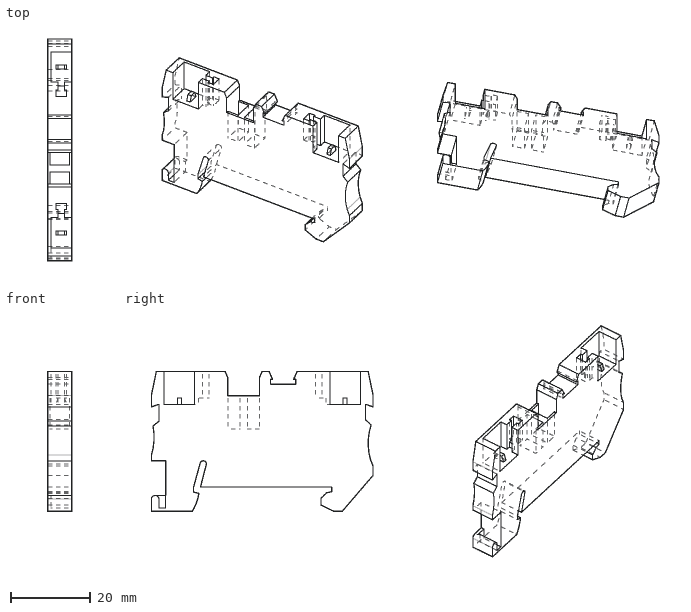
import cadquery as cq
import math

WIDTH = 6.15
WALL = 0.85
LENGTH = 55.9
HEIGHT = 35.3
END = LENGTH / 2

TOP_HALF = 26.7
SLOPE_FOOT_Z = 29.25
LIP_Z = 26.3
NOTCH_Y = 26.05
NOTCH_TOP_Z = 26.95

MINUS_NOTCH_BOTTOM_Z = 22.7
MINUS_HOLLOW_TIP = (-27.55, 21.5)
MINUS_HOLLOW_DEEPEST = (-27.3, 18.45)
MINUS_HOLLOW_END_Z = 14.2
PLUS_NOTCH_BOTTOM_Z = 23.1
PLUS_HOLLOW_TIP = (27.45, 21.75)
PLUS_HOLLOW_DEEPEST = (26.7, 17.1)
PLUS_HOLLOW_END = (27.3, 13.1)
PLUS_SIDE_TOP_Z = 11.4
PLUS_SIDE_BOTTOM_Z = 9.05

GROOVE_FLOOR_Z = 32.05
GROOVE_HOOK_Z = 33.25
GROOVE_CENTER_Y = 5.25
GROOVE_HALF = 3.15
GROOVE_HOOK_HALF = 2.6
GROOVE_MOUTH_HALF = 3.5

CHANNEL_CENTER_Y = -4.7
CHANNEL_HALF = 3.95
CHANNEL_FLOOR_Z = 29.2
CHANNEL_CHAMFER_Y = 0.65
CHANNEL_CHAMFER_Z = 1.55
WINDOW_BAR = 1.85
WINDOW_WALL = 0.6
WINDOW_DEPTH = 8.4

RAIL_Z = 6.1
STEP_Z = 12.7
FOOT_INNER_Y = -17.3
FOOT_HEEL_Y = -17.6
FOOT_HEEL_MID = (-16.6, 2.0)
FOOT_CATCH = (-15.95, 4.5)
FOOT_CATCH_ROOT_Z = 4.85
RELIEF_SEAT_Y = -15.6
RELIEF_FOOT_SIDE = (-15.6, 12.2)
RELIEF_TOP_Y = -14.75
RELIEF_SEAT_SIDE = (-14.1, 11.95)
FOOT_RECESS_Y = -24.4
FOOT_TOE_Z = 4.0
FOOT_TOE_RADIUS = 0.95
TOE_CREST_Y = FOOT_TOE_RADIUS - END
TOE_BEND = FOOT_TOE_RADIUS * (1 - math.sqrt(0.5))

HOOK_ROOT_Y = 17.5
HOOK_ROOT_Z = 5.0
HOOK_SHOULDER = (16.2, 4.7)
HOOK_NOSE_Y = 14.75
HOOK_NOSE_TOP_Z = 3.25
HOOK_NOSE_BOTTOM_Z = 1.55
HOOK_BOTTOM_INNER_Y = 18.0
HOOK_BOTTOM_OUTER_Y = 20.2

POCKET_INNER_Y = 17.1
POCKET_OUTER_Y = 24.7
POCKET_DEPTH = 8.4

SLOT_CENTER_X = 3.45
SLOT_WIDTH = 2.75
NECK_WIDTH = 1.6
HEAD_INNER_Y = 13.45
HEAD_OUTER_Y = 15.1
SLOT_STEP_Y = 16.05
SLOT_DEPTH = 6.7

RIDGE_CENTER_Y = 20.9
RIDGE_LENGTH_Y = 1.0
RIDGE_HEIGHT = 1.7


def housing():
    """Side outline, clockwise from the +Y end of the top face when +Y points left."""
    hook_low = GROOVE_CENTER_Y - GROOVE_HOOK_HALF
    hook_high = GROOVE_CENTER_Y + GROOVE_HOOK_HALF
    groove_low = GROOVE_CENTER_Y - GROOVE_HALF
    groove_high = GROOVE_CENTER_Y + GROOVE_HALF
    channel_low = CHANNEL_CENTER_Y - CHANNEL_HALF
    channel_high = CHANNEL_CENTER_Y + CHANNEL_HALF
    chamfer_z = HEIGHT - CHANNEL_CHAMFER_Z

    outline = (
        cq.Workplane("YZ")
        .moveTo(TOP_HALF, HEIGHT)
        .lineTo(GROOVE_CENTER_Y + GROOVE_MOUTH_HALF, HEIGHT)
        .lineTo(hook_high, GROOVE_HOOK_Z)
        .lineTo(groove_high, GROOVE_HOOK_Z)
        .lineTo(groove_high, GROOVE_FLOOR_Z)
        .lineTo(groove_low, GROOVE_FLOOR_Z)
        .lineTo(groove_low, GROOVE_HOOK_Z)
        .lineTo(hook_low, GROOVE_HOOK_Z)
        .lineTo(GROOVE_CENTER_Y - GROOVE_MOUTH_HALF, HEIGHT)
        .lineTo(channel_high + CHANNEL_CHAMFER_Y, HEIGHT)
        .lineTo(channel_high, chamfer_z)
        .lineTo(channel_high, CHANNEL_FLOOR_Z)
        .lineTo(channel_low, CHANNEL_FLOOR_Z)
        .lineTo(channel_low, chamfer_z)
        .lineTo(channel_low - CHANNEL_CHAMFER_Y, HEIGHT)
        .lineTo(-TOP_HALF, HEIGHT)
        .lineTo(-END, SLOPE_FOOT_Z)
        .lineTo(-END, LIP_Z)
        .lineTo(-NOTCH_Y, NOTCH_TOP_Z)
        .lineTo(-NOTCH_Y, MINUS_NOTCH_BOTTOM_Z)
        .lineTo(*MINUS_HOLLOW_TIP)
        .threePointArc(MINUS_HOLLOW_DEEPEST, (-END, MINUS_HOLLOW_END_Z))
        .lineTo(-END, STEP_Z)
        .lineTo(FOOT_RECESS_Y, STEP_Z)
        .lineTo(FOOT_RECESS_Y, FOOT_TOE_Z)
        .lineTo(TOE_CREST_Y, FOOT_TOE_Z)
        .threePointArc(
            (-END + TOE_BEND, FOOT_TOE_Z - TOE_BEND),
            (-END, FOOT_TOE_Z - FOOT_TOE_RADIUS),
        )
        .lineTo(-END, 0)
        .lineTo(FOOT_HEEL_Y, 0)
        .threePointArc(FOOT_HEEL_MID, FOOT_CATCH)
        .lineTo(FOOT_INNER_Y, FOOT_CATCH_ROOT_Z)
        .lineTo(FOOT_INNER_Y, RAIL_Z)
        .lineTo(*RELIEF_FOOT_SIDE)
        .threePointArc((RELIEF_TOP_Y, STEP_Z), RELIEF_SEAT_SIDE)
        .lineTo(RELIEF_SEAT_Y, RAIL_Z)
        .lineTo(HOOK_ROOT_Y, RAIL_Z)
        .lineTo(HOOK_ROOT_Y, HOOK_ROOT_Z)
        .lineTo(*HOOK_SHOULDER)
        .lineTo(HOOK_NOSE_Y, HOOK_NOSE_TOP_Z)
        .lineTo(HOOK_NOSE_Y, HOOK_NOSE_BOTTOM_Z)
        .lineTo(HOOK_BOTTOM_INNER_Y, 0)
        .lineTo(HOOK_BOTTOM_OUTER_Y, 0)
        .lineTo(END, PLUS_SIDE_BOTTOM_Z)
        .lineTo(END, PLUS_SIDE_TOP_Z)
        .lineTo(*PLUS_HOLLOW_END)
        .threePointArc(PLUS_HOLLOW_DEEPEST, PLUS_HOLLOW_TIP)
        .lineTo(NOTCH_Y, PLUS_NOTCH_BOTTOM_Z)
        .lineTo(NOTCH_Y, NOTCH_TOP_Z)
        .lineTo(END, LIP_Z)
        .lineTo(END, SLOPE_FOOT_Z)
        .close()
    )
    return outline.extrude(WIDTH)


def block(x_range, y_range, z_range):
    """Axis-aligned box between the given limits."""
    corner = (x_range[0], y_range[0], z_range[0])
    size = [high - low for low, high in (x_range, y_range, z_range)]
    return cq.Workplane("XY").box(*size, centered=False).translate(corner)


def centered_range(center, size):
    return (center - size / 2, center + size / 2)


def wire_entry():
    """Pocket and tool slot of the +Y end, as one cutting body."""
    pocket_z = (HEIGHT - POCKET_DEPTH, HEIGHT)
    slot_z = (HEIGHT - SLOT_DEPTH, HEIGHT)
    slot_x = centered_range(SLOT_CENTER_X, SLOT_WIDTH)
    neck_x = centered_range(SLOT_CENTER_X, NECK_WIDTH)

    pocket = block((WALL, WIDTH), (POCKET_INNER_Y, POCKET_OUTER_Y), pocket_z)
    deep_neck = block(neck_x, (SLOT_STEP_Y, POCKET_INNER_Y), pocket_z)
    shallow_neck = block(neck_x, (HEAD_OUTER_Y, SLOT_STEP_Y), slot_z)
    head = block(slot_x, (HEAD_INNER_Y, HEAD_OUTER_Y), slot_z)

    ridge_foot = pocket_z[0]
    ridge_top = ridge_foot + RIDGE_HEIGHT
    ridge = (
        cq.Workplane("XZ", origin=(0, RIDGE_CENTER_Y, 0))
        .polyline([
            (slot_x[0], ridge_foot),
            (slot_x[1], ridge_foot),
            (neck_x[1], ridge_top),
            (neck_x[0], ridge_top),
        ])
        .close()
        .extrude(RIDGE_LENGTH_Y / 2, both=True)
    )
    return pocket.cut(ridge).union(deep_neck).union(shallow_neck).union(head)


def foot_recess():
    """Recess in the spring foot that leaves the toe as a rounded lip."""
    lip_y = TOE_CREST_Y + FOOT_TOE_RADIUS
    round_z = FOOT_TOE_Z - FOOT_TOE_RADIUS
    return (
        cq.Workplane("YZ", origin=(WALL, 0, 0))
        .moveTo(FOOT_RECESS_Y, WALL)
        .lineTo(FOOT_RECESS_Y, FOOT_TOE_Z)
        .lineTo(TOE_CREST_Y, FOOT_TOE_Z)
        .threePointArc((lip_y - TOE_BEND, FOOT_TOE_Z - TOE_BEND), (lip_y, round_z))
        .lineTo(lip_y, WALL)
        .close()
        .extrude(WIDTH - WALL)
    )


def channel_windows():
    """Two blind windows in the channel floor, either side of the bar."""
    x_range = (WINDOW_WALL, WIDTH - WINDOW_WALL)
    z_range = (CHANNEL_FLOOR_Z - WINDOW_DEPTH, CHANNEL_FLOOR_Z)
    length = CHANNEL_HALF - WINDOW_BAR / 2
    offset = (CHANNEL_HALF + WINDOW_BAR / 2) / 2
    low, high = [
        block(x_range, centered_range(CHANNEL_CENTER_Y + side * offset, length), z_range)
        for side in (-1, 1)
    ]
    return low.union(high)


entry = wire_entry()
result = (
    housing()
    .cut(entry)
    .cut(entry.mirror("XZ"))
    .cut(channel_windows())
    .cut(foot_recess())
)